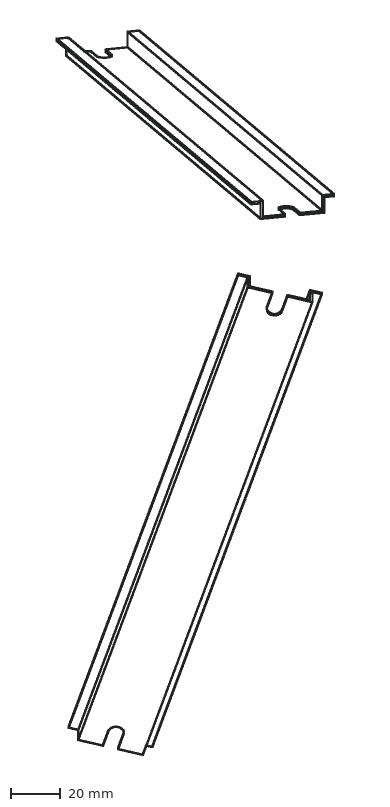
import cadquery as cq

length = 241.0
width = 35.0
height = 7.5
thickness = 1.0

channel_width = 25.0

slot_width = 6.3
slot_depth = 10.8


def make_rail():
    """Top-hat section, centred on Y and Z, running along X."""
    half_width = width / 2
    half_inner = channel_width / 2
    half_outer = half_inner + thickness
    top = height / 2
    bottom = -top
    right_half = [
        (0, bottom),
        (half_outer, bottom),
        (half_outer, top - thickness),
        (half_width, top - thickness),
        (half_width, top),
        (half_inner, top),
        (half_inner, bottom + thickness),
        (0, bottom + thickness),
    ]
    half_rail = cq.Workplane("YZ").polyline(right_half).close().extrude(length / 2, both=True)
    return half_rail.union(half_rail.mirror("XZ"))


def make_slot(end):
    """Round-ended cutter opening at one rail end; end is -1 or 1."""
    return (
        cq.Workplane("XY")
        .center(end * length / 2, 0)
        .slot2D(2 * slot_depth, slot_width)
        .extrude(height, both=True)
    )


result = make_rail()
for end in (-1, 1):
    result = result.cut(make_slot(end))